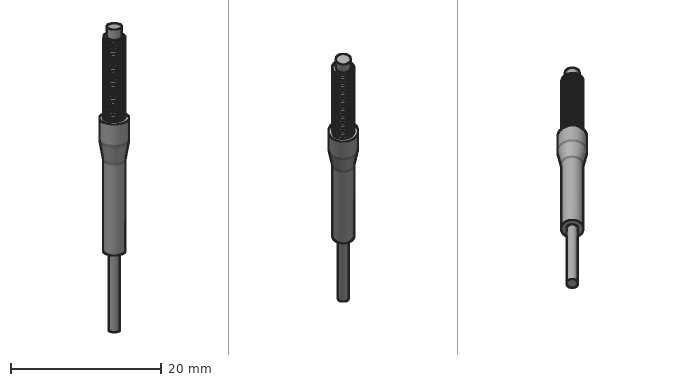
import cadquery as cq
total_length = 44.75
pin_length = 1.5
thread_length = 12.0
thread_turns = 24
thread_pitch = thread_length / thread_turns
collar_length = 3.2
taper_length = 2.85
lead_length = 11.68

pin_diameter = 2.0
thread_diameter = 3.0
collar_diameter = 4.0
body_diameter = 3.0
lead_diameter = 1.5

thread_depth = 0.25
groove_mouth_width = 0.45
groove_root_width = 0.05
taper_blend_radius = 1.35

thread_top = total_length - pin_length
collar_top = thread_top - thread_length
taper_top = collar_top - collar_length
taper_bottom = taper_top - taper_length


def cylinder(diameter, bottom, top):
    return cq.Workplane("XY").workplane(offset=bottom).circle(diameter / 2).extrude(top - bottom)


def make_body():
    """Collar, taper and body turned in one profile, with the taper blended into its neighbours."""
    collar_radius = collar_diameter / 2
    body_radius = body_diameter / 2
    body = (
        cq.Workplane("XZ")
        .moveTo(0, lead_length)
        .lineTo(body_radius, lead_length)
        .lineTo(body_radius, taper_bottom)
        .lineTo(collar_radius, taper_top)
        .lineTo(collar_radius, collar_top)
        .lineTo(0, collar_top)
        .close()
        .revolve(360, (0, 0, 0), (0, 1, 0))
    )
    taper_edges = body.faces("%CONE").edges("%CIRCLE")
    return taper_edges.fillet(taper_blend_radius)


def make_thread_groove():
    """Right-handed trapezoidal groove, one pitch longer than the thread at each end."""
    overshoot = 0.05
    flank_slope = (groove_mouth_width - groove_root_width) / (2 * thread_depth)
    root_radius = thread_diameter / 2 - thread_depth
    outer_radius = thread_diameter / 2 + overshoot
    root_half_width = groove_root_width / 2
    outer_half_width = groove_mouth_width / 2 + overshoot * flank_slope

    groove_start = collar_top - thread_pitch
    groove_length = thread_length + 2 * thread_pitch

    corners = [
        (root_radius, -root_half_width),
        (outer_radius, -outer_half_width),
        (outer_radius, outer_half_width),
        (root_radius, root_half_width),
    ]
    edges = []
    for radius, offset in corners:
        helix = cq.Wire.makeHelix(thread_pitch, groove_length, radius)
        edges.append(helix.translate(cq.Vector(0, 0, groove_start + offset)).Edges()[0])

    faces = []
    for index, edge in enumerate(edges):
        faces.append(cq.Face.makeRuledSurface(edge, edges[(index + 1) % len(edges)]))
    for end in (0, 1):
        outline = cq.Wire.makePolygon([edge.positionAt(end) for edge in edges], close=True)
        faces.append(cq.Face.makeFromWires(outline))
    return cq.Workplane(cq.Solid.makeSolid(cq.Shell.makeShell(faces)))


def make_thread():
    """Threaded rod with the groove running out at its top and at the collar."""
    rod = cylinder(thread_diameter, collar_top, thread_top)
    rod = rod.rotate((0, 0, 0), (0, 0, 1), 90)
    return rod.cut(make_thread_groove())


lead = cylinder(lead_diameter, 0, lead_length)
pin = cylinder(pin_diameter, thread_top, total_length)
result = make_body().union(lead).union(make_thread()).union(pin)